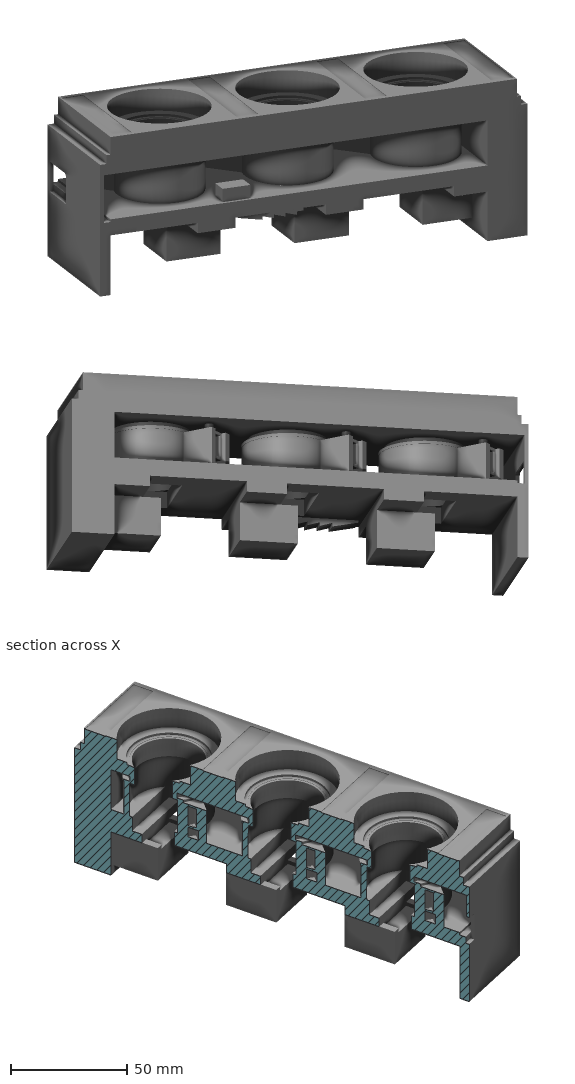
import cadquery as cq

WIDTH = 57.0
LENGTH = 200.0
HEIGHT = 72.0
HALF_LENGTH = LENGTH / 2

UNIT_PITCH = 60.0
UNIT_CENTRES = [UNIT_PITCH, 0.0, -UNIT_PITCH]

SHOULDER_Z = 60.0
STEP_Z = 64.0
STEP_INSET = 3.0
COVER_INSET = 4.9
COVER_UNDERSIDE = 55.0

PLATE_TOP = 34.5
PLATE_BOTTOM = 27.2
THICK_WALL = 18.7
THIN_WALL = 4.9
THIN_WALL_UPPER = 1.8
WALL_LEDGE_Z = 33.3

PAD_BOTTOM = 22.5
PAD_BACK = 23.3
PAD_FRONT = 5.7
FOOT_BOTTOM = 5.5
FOOT_FRONT = -2.1
FOOT_WIDTH = 25.0
FOOT_SLOT_WIDTH = 18.6
FOOT_SLOT_DEPTH = 2.0

OPENING_WIDTH = 34.0
OPENING_LENGTH = 21.1

COUNTERBORE_D = 45.0
COUNTERBORE_Z = 62.0
RIM_D = 37.0
RIM_Z = 60.9
LIP_D = 34.0
LIP_Z = 60.7
BORE_D = 32.0
CAVITY_D = 35.0

NECK_D = 35.0
FLANGE_D = 40.0
FLANGE_TOP = 52.7
HOUSING_D = 39.6
HOUSING_TOP = 51.4

ARM_ANGLE = 225.0
ARM_REACH = 34.1
ARM_SIDE = 10.1
LEG_WIDTH = 3.0
ARM_WIDTH = 13.5
ARM_OFFSET = ARM_SIDE - ARM_WIDTH / 2
GAP_WIDTH = ARM_WIDTH - 2 * LEG_WIDTH
GAP_START = 21.5
LEG_LIP = 2.0
JAMB = 0.8
LOWER_JAMB = 0.2
BRIDGE_REACH = ARM_REACH - LEG_LIP
BRIDGE_BOTTOM = 39.2
BRIDGE_TOP = 40.7
BRIDGE_GROOVE_WIDTH = 3.8
BRIDGE_GROOVE_DEPTH = 0.3
ROOF_BOTTOM = 50.2
PIN_D = 4.0
PIN_REACH = 28.2

LABEL_WIDTH = 52.8
LABEL_LENGTH = 10.0
LABEL_DEPTH = 0.3
END_LABEL_Y = 89.3
LABEL_CENTRES = [END_LABEL_Y, UNIT_PITCH / 2, -UNIT_PITCH / 2, -END_LABEL_Y]

WINDOW_LEFT = -26.2
WINDOW_RIGHT = -8.7
WINDOW_BOTTOM = 30.1
WINDOW_TOP = 43.9
WINDOW_CHAMFER = 1.0

RATCHET_X = (19.0, 27.0)
RATCHET_BACK = -4.2
RATCHET_FRONT = -34.7
TOOTH_COUNT = 4
TOOTH_PITCH = 5.4
FIRST_TOOTH_Y = -7.1
TOOTH_ROOT_Z = 25.4
TOOTH_TIP_Z = 23.8
RATCHET_END_Z = 26.2
STOP_Y = (-42.0, -29.0)
STOP_TOP = 40.5


def block(x_range, y_range, z_range):
    """Axis-aligned box between the given limits."""
    size = [abs(r[1] - r[0]) for r in (x_range, y_range, z_range)]
    corner = (min(x_range), min(y_range), min(z_range))
    return cq.Workplane("XY").box(*size, centered=False).translate(corner)


def across(width, centre=0.0):
    """Limits of a span of the given width about a centre."""
    return (centre - width / 2, centre + width / 2)


def cylinder(diameter, z_bottom, z_top):
    """Upright cylinder on the Z axis."""
    return cq.Workplane("XY").workplane(offset=z_bottom).circle(diameter / 2).extrude(z_top - z_bottom)


FULL_WIDTH = across(WIDTH)
WALL_INNER_Y = -HALF_LENGTH + THIN_WALL


def make_frame():
    """Cover, end walls and base plate as one profile extruded along X."""
    cover_end = HALF_LENGTH - COVER_INSET
    step_end = HALF_LENGTH - STEP_INSET
    outline = [
        (HALF_LENGTH, 0),
        (HALF_LENGTH, SHOULDER_Z),
        (step_end, SHOULDER_Z),
        (step_end, STEP_Z),
        (cover_end, STEP_Z),
        (cover_end, HEIGHT),
        (-cover_end, HEIGHT),
        (-cover_end, STEP_Z),
        (-step_end, STEP_Z),
        (-step_end, SHOULDER_Z),
        (-HALF_LENGTH, SHOULDER_Z),
        (-HALF_LENGTH, 0),
        (WALL_INNER_Y, 0),
        (WALL_INNER_Y, PLATE_BOTTOM),
        (HALF_LENGTH - THICK_WALL, PLATE_BOTTOM),
        (HALF_LENGTH - THICK_WALL, 0),
    ]
    frame = cq.Workplane("YZ").polyline(outline).close().extrude(WIDTH / 2, both=True)
    bay = block(FULL_WIDTH, (WALL_INNER_Y, HALF_LENGTH - THICK_WALL), (PLATE_TOP, COVER_UNDERSIDE))
    wall_recess = block(
        FULL_WIDTH, (-HALF_LENGTH + THIN_WALL_UPPER, WALL_INNER_Y), (WALL_LEDGE_Z, COVER_UNDERSIDE)
    )
    return frame.cut(bay).cut(wall_recess)


def make_foot():
    """Full-width pad and the narrower slotted foot under it."""
    pad = block(FULL_WIDTH, (PAD_FRONT, PAD_BACK), (PAD_BOTTOM, PLATE_BOTTOM))
    foot = block(across(FOOT_WIDTH), (FOOT_FRONT, PAD_BACK), (FOOT_BOTTOM, PAD_BOTTOM))
    slot = block(
        across(FOOT_SLOT_WIDTH), (FOOT_FRONT, PAD_FRONT), (PAD_BOTTOM - FOOT_SLOT_DEPTH, PAD_BOTTOM)
    )
    return pad.union(foot.cut(slot))


def make_arm():
    """Terminal arm built along +X, then turned to its direction about the unit axis."""
    gap_across = across(GAP_WIDTH, ARM_OFFSET)
    arm = block((0, ARM_REACH), across(ARM_WIDTH, ARM_OFFSET), (PLATE_TOP, HOUSING_TOP))
    throat = block(
        (GAP_START, BRIDGE_REACH), across(GAP_WIDTH - 2 * JAMB, ARM_OFFSET), (BRIDGE_TOP, ROOF_BOTTOM)
    )
    mouth = block((BRIDGE_REACH, ARM_REACH), gap_across, (PLATE_TOP, HOUSING_TOP))
    under_bridge = block(
        (GAP_START, BRIDGE_REACH),
        across(GAP_WIDTH - 2 * LOWER_JAMB, ARM_OFFSET),
        (PLATE_TOP, BRIDGE_BOTTOM),
    )
    groove = block(
        (GAP_START, BRIDGE_REACH),
        across(BRIDGE_GROOVE_WIDTH, ARM_OFFSET),
        (BRIDGE_TOP - BRIDGE_GROOVE_DEPTH, BRIDGE_TOP),
    )
    for space in (throat, mouth, under_bridge, groove):
        arm = arm.cut(space)
    pin = cylinder(PIN_D, ROOF_BOTTOM, COVER_UNDERSIDE).translate((PIN_REACH, ARM_OFFSET, 0))
    return arm.union(pin).rotate((0, 0, 0), (0, 0, 1), ARM_ANGLE)


def make_housing():
    """Round housing with flange, neck and terminal arm, before boring."""
    housing = cylinder(HOUSING_D, PLATE_TOP, HOUSING_TOP)
    housing = housing.union(make_arm())
    housing = housing.union(cylinder(FLANGE_D, HOUSING_TOP, FLANGE_TOP))
    return housing.union(cylinder(NECK_D, FLANGE_TOP, COVER_UNDERSIDE))


def make_bore():
    """Stepped bore through cover, housing and plate."""
    bore = cylinder(BORE_D, HOUSING_TOP, LIP_Z)
    bore = bore.union(cylinder(LIP_D, LIP_Z, RIM_Z))
    bore = bore.union(cylinder(RIM_D, RIM_Z, COUNTERBORE_Z))
    bore = bore.union(cylinder(COUNTERBORE_D, COUNTERBORE_Z, HEIGHT))
    bore = bore.union(cylinder(CAVITY_D, PLATE_TOP, HOUSING_TOP))
    opening = block(across(OPENING_WIDTH), across(OPENING_LENGTH), (PLATE_BOTTOM, PLATE_TOP))
    return bore.union(opening)


def make_window():
    """Opening in the thin end wall with one chamfered upper corner."""
    outline = [
        (WINDOW_LEFT, WINDOW_BOTTOM),
        (WINDOW_RIGHT, WINDOW_BOTTOM),
        (WINDOW_RIGHT, WINDOW_TOP - WINDOW_CHAMFER),
        (WINDOW_RIGHT - WINDOW_CHAMFER, WINDOW_TOP),
        (WINDOW_LEFT, WINDOW_TOP),
    ]
    plane = cq.Workplane("XZ", origin=(0, -HALF_LENGTH, 0))
    return plane.polyline(outline).close().extrude(-THIN_WALL_UPPER)


def make_ratchet():
    """Saw-tooth strip hanging from the plate."""
    outline = [(RATCHET_BACK, PLATE_BOTTOM)]
    outline.append((RATCHET_BACK, TOOTH_ROOT_Z))
    for i in range(TOOTH_COUNT):
        flank_y = FIRST_TOOTH_Y - i * TOOTH_PITCH
        outline.append((flank_y, TOOTH_ROOT_Z))
        outline.append((flank_y, TOOTH_TIP_Z))
    outline.append((RATCHET_FRONT, RATCHET_END_Z))
    outline.append((RATCHET_FRONT, PLATE_BOTTOM))
    strip = cq.Workplane("YZ", origin=(RATCHET_X[0], 0, 0)).polyline(outline).close()
    return strip.extrude(RATCHET_X[1] - RATCHET_X[0])


result = make_frame()
for centre_y in UNIT_CENTRES:
    position = (0, centre_y, 0)
    result = result.union(make_foot().translate(position))
    result = result.union(make_housing().translate(position))
    result = result.cut(make_bore().translate(position))

for label_y in LABEL_CENTRES:
    result = result.cut(
        block(across(LABEL_WIDTH), across(LABEL_LENGTH, label_y), (HEIGHT - LABEL_DEPTH, HEIGHT))
    )

result = result.cut(make_window())
result = result.union(make_ratchet())
result = result.union(block(RATCHET_X, STOP_Y, (PLATE_TOP, STOP_TOP)))